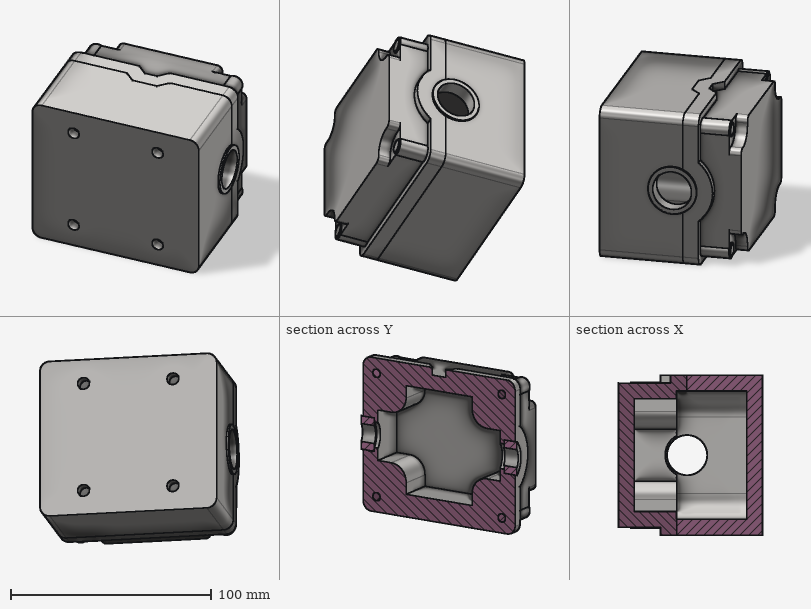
import cadquery as cq
import math

body_width = 90.0
body_height = 80.0
body_corner_radius = 5.0
total_depth = 72.0
base_depth = 43.0
flange_thickness = 8.1
wall = 8.0
port_wall = 6.8

port_offset = 37.7
port_bore_diameter = 20.0
port_relief_diameter = 22.0
port_relief_depth = 2.2
port_ring_diameter = 25.0
port_ring_protrusion = 1.0

notch_tip_half_width = 3.3
notch_depth = 5.0

screw_x = 37.0
screw_z = 32.0
head_diameter = 7.5
head_height = 4.0
head_protrusion = 0.6
head_chamfer = 0.55
shank_diameter = 4.0
shank_length = 27.6

block_margin = 4.05
column_diameter = 9.0
recess_depth = 6.2
recess_radius = 9.0
recess_lip_radius = 3.0

base_chamber_corner_radius = 12.9
cross_arm_half_height = 13.0
cross_arm_half_width = 19.3
cross_corner_radius = 9.0

mount_x = 22.7
mount_z = 27.7
mount_diameter = 6.0
mount_depth = 6.4

front_y = -total_depth / 2
back_y = total_depth / 2
parting_y = front_y + base_depth
flange_back_y = parting_y + flange_thickness
recess_floor_y = back_y - recess_depth
chamber_front_y = front_y + wall
chamber_back_y = back_y - wall
port_y = front_y + port_offset

half_width = body_width / 2
port_ring_x = half_width + port_ring_protrusion
base_chamber_half_width = half_width - port_wall
cover_chamber_half_width = base_chamber_half_width - port_relief_depth
lobe_diameter = port_ring_diameter + 2 * flange_thickness
step_tip_half_width = notch_tip_half_width + flange_thickness * math.tan(math.radians(22.5))

block_half_width = screw_x + block_margin
block_half_height = screw_z + block_margin


def sketch_at(y):
    """Work plane facing -Y at the given depth: its axes are X and Z."""
    return cq.Workplane("XZ", origin=(0, y, 0))


def box_along_y(half_x, half_z, y_start, y_end):
    return sketch_at(y_start).rect(2 * half_x, 2 * half_z).extrude(y_start - y_end)


def rounded_box(half_x, half_z, corner_radius, y_start, y_end):
    return box_along_y(half_x, half_z, y_start, y_end).edges("|Y").fillet(corner_radius)


def four_places(x, z):
    return [(side * x, level * z) for side in (-1, 1) for level in (-1, 1)]


def cylinders_along_y(places, diameter, y_start, y_end):
    return sketch_at(y_start).pushPoints(places).circle(diameter / 2).extrude(y_start - y_end)


def port_cylinder(diameter, half_length):
    """Cylinder on the port axis, centred on the middle of the part."""
    return cq.Workplane("YZ", origin=(0, port_y, 0)).circle(diameter / 2).extrude(half_length, both=True)


def trapezoid_prism(y_wide, tip_half_width):
    """Prism on the +Z side that narrows toward -Y from y_wide."""
    wide_half_width = tip_half_width + notch_depth
    outline = [
        (-wide_half_width, y_wide),
        (wide_half_width, y_wide),
        (tip_half_width, y_wide - notch_depth),
        (-tip_half_width, y_wide - notch_depth),
    ]
    return cq.Workplane("XY").polyline(outline).close().extrude(body_height)


def base_chamber():
    half_height = body_height / 2 - wall
    return rounded_box(
        base_chamber_half_width, half_height, base_chamber_corner_radius, chamber_front_y, parting_y
    )


def cover_chamber():
    """Cross whose four inner corners bulge around the screws."""
    wide_arm = box_along_y(cover_chamber_half_width, cross_arm_half_height, parting_y, chamber_back_y)
    tall_arm = box_along_y(cross_arm_half_width, block_half_height - wall, parting_y, chamber_back_y)
    cross = wide_arm.union(tall_arm)
    inner_corners = cq.selectors.BoxSelector(
        (-cross_arm_half_width - 0.9, parting_y, -cross_arm_half_height - 0.9),
        (cross_arm_half_width + 0.9, chamber_back_y, cross_arm_half_height + 0.9),
    )
    return cross.edges("|Y").edges(inner_corners).fillet(cross_corner_radius)


def base_envelope():
    """Outside of the base: box with a step for the cover tongue, and a ring in each port wall."""
    box = rounded_box(half_width, body_height / 2, body_corner_radius, front_y, parting_y)
    stepped = box.cut(trapezoid_prism(parting_y, step_tip_half_width))
    between_walls = box_along_y(base_chamber_half_width, body_height / 2, parting_y, back_y)
    rings = port_cylinder(port_ring_diameter, port_ring_x).cut(between_walls)
    return stepped.union(rings)


def make_base(screws):
    mount_holes = cylinders_along_y(
        four_places(mount_x, mount_z), mount_diameter, front_y, front_y + mount_depth
    )
    port_bore = port_cylinder(port_bore_diameter, port_ring_x)
    hollow = base_envelope().cut(base_chamber()).cut(port_bore)
    return hollow.cut(mount_holes).cut(screws)


def screw_recess():
    """Recess at the +X +Z screw: an arc round the screw, blended into both side faces."""
    reach = recess_radius + recess_lip_radius
    inset = block_margin - recess_lip_radius
    run = math.sqrt(reach**2 - inset**2)
    share = recess_radius / reach
    diagonal = recess_radius * math.sqrt(0.5)
    lip_angle = math.atan2(run, -inset) / 2

    lip_mid = (
        inset + recess_lip_radius * math.cos(lip_angle),
        -run + recess_lip_radius * math.sin(lip_angle),
    )
    blend = (inset * share, -run * share)

    def at(offset_x, offset_z):
        return (screw_x + offset_x, screw_z + offset_z)

    outside = 2 * block_margin
    return (
        sketch_at(recess_floor_y)
        .moveTo(*at(block_margin, -run))
        .threePointArc(at(*lip_mid), at(*blend))
        .threePointArc(at(-diagonal, -diagonal), at(blend[1], blend[0]))
        .threePointArc(at(lip_mid[1], lip_mid[0]), at(-run, block_margin))
        .lineTo(*at(-run, outside))
        .lineTo(*at(outside, outside))
        .lineTo(*at(outside, -run))
        .close()
        .extrude(-recess_depth)
    )


def cover_block():
    block = rounded_box(block_half_width, block_half_height, block_margin, parting_y, back_y)
    right_recesses = screw_recess().union(screw_recess().mirror("XY"))
    recesses = right_recesses.union(right_recesses.mirror("YZ"))
    columns = cylinders_along_y(four_places(screw_x, screw_z), column_diameter, parting_y, recess_floor_y)
    return block.cut(recesses).union(columns)


def cover_flange():
    """Flange with a tongue into the base, a matching notch behind it, and a lobe over each port."""
    plate = rounded_box(half_width, body_height / 2, body_corner_radius, parting_y, flange_back_y)
    envelope = rounded_box(half_width, body_height / 2, body_corner_radius, front_y, flange_back_y)
    tongue = envelope.intersect(trapezoid_prism(parting_y, step_tip_half_width))
    behind_parting = box_along_y(half_width, body_height / 2, parting_y, back_y)
    lobes = port_cylinder(lobe_diameter, half_width).intersect(behind_parting)
    notch = trapezoid_prism(flange_back_y, notch_tip_half_width)
    return plate.union(tongue).cut(notch).union(lobes)


def make_cover(screws):
    solid_cover = cover_flange().union(cover_block())
    port_relief = port_cylinder(port_relief_diameter, base_chamber_half_width)
    hollow = solid_cover.cut(base_chamber()).cut(cover_chamber()).cut(port_relief)
    return hollow.cut(base_envelope()).cut(screws)


def make_screw(place):
    head_top_y = recess_floor_y + head_protrusion
    head_seat_y = head_top_y - head_height
    head = cylinders_along_y([place], head_diameter, head_seat_y, head_top_y)
    head = head.faces(">Y").chamfer(head_chamfer)
    shank = cylinders_along_y([place], shank_diameter, head_seat_y - shank_length, head_seat_y)
    return head.union(shank)


screws = [make_screw(place).val() for place in four_places(screw_x, screw_z)]
all_screws = cq.Compound.makeCompound(screws)
base = make_base(all_screws)
cover = make_cover(all_screws)

result = cq.Compound.makeCompound([base.val(), cover.val(), *screws])